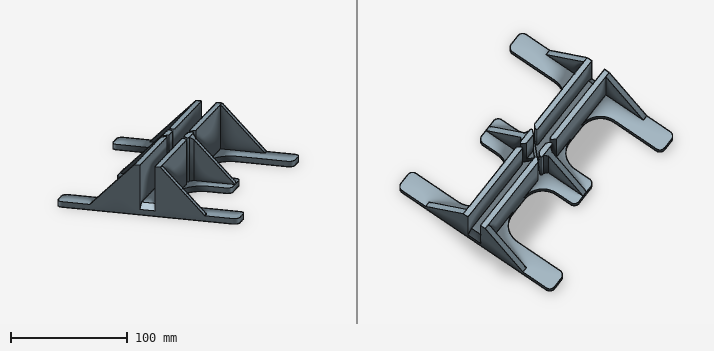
import cadquery as cq
LENGTH = 180.0
WIDTH = 163.0
HEIGHT = 45.0
HALF_LENGTH = LENGTH / 2

THICKNESS = 5.0
BASE_TOP = THICKNESS
FLOOR_TOP = 2 * THICKNESS

CHANNEL_WIDTH = 13.3
INNER_X = CHANNEL_WIDTH / 2
OUTER_X = INNER_X + THICKNESS

FOOT_DEPTH = 20.0
MIDDLE_DEPTH = 27.2
CORNER_RADIUS = 5.0
NECK_RADIUS = 20.0

RIB_END_X = OUTER_X + HEIGHT - BASE_TOP
FLARE = 3.0

SLOT_OFFSET = 1.71
TIP_RADIUS = 1.35


def prism(points, bottom, top):
    """Upright prism on an XY outline."""
    return cq.Workplane("XY").workplane(offset=bottom).polyline(points).close().extrude(top - bottom)


def in_both_halves(body, plane):
    """The body together with its mirror image in a plane through the origin."""
    return body.union(body.mirror(plane))


def base():
    """Flat base: a spine with a foot bar at each end and a short arm across the centre."""
    foot_y = HALF_LENGTH - FOOT_DEPTH / 2
    spine = cq.Workplane("XY").rect(2 * OUTER_X, LENGTH - FOOT_DEPTH).extrude(BASE_TOP)
    foot_centres = [(0, foot_y), (0, -foot_y)]
    feet = cq.Workplane("XY").pushPoints(foot_centres).rect(WIDTH, FOOT_DEPTH).extrude(BASE_TOP)
    arm = cq.Workplane("XY").rect(2 * RIB_END_X, MIDDLE_DEPTH).extrude(BASE_TOP)
    plate = spine.union(feet).union(arm)

    corner_split = OUTER_X + THICKNESS
    plate = plate.edges("|Z").filter(lambda edge: abs(edge.Center().x) > corner_split).fillet(CORNER_RADIUS)
    return plate.edges("|Z").filter(lambda edge: abs(edge.Center().x) < corner_split).fillet(NECK_RADIUS)


def long_wall():
    """Wall from the diagonal slot to the +Y end, with its sharp inner tip rounded."""
    outline = [
        (OUTER_X, HALF_LENGTH),
        (OUTER_X, OUTER_X + SLOT_OFFSET),
        (INNER_X, INNER_X + SLOT_OFFSET),
        (INNER_X, HALF_LENGTH),
    ]
    return prism(outline, BASE_TOP, HEIGHT).edges("|Z and <Y").fillet(TIP_RADIUS)


def centre_wall():
    """Half of the short wall between the slots, with its sharp outer tip rounded."""
    outline = [
        (INNER_X, 0),
        (OUTER_X, 0),
        (OUTER_X, OUTER_X - SLOT_OFFSET),
        (INNER_X, INNER_X - SLOT_OFFSET),
    ]
    return prism(outline, BASE_TOP, HEIGHT).edges("|Z and >Y").fillet(TIP_RADIUS)


def channel_floor():
    """Raised channel floor, split by the slot and ramped at the +Y end; it fills under the rounded tip."""
    under_wall = INNER_X + THICKNESS / 2
    long_outline = [
        (0, SLOT_OFFSET),
        (under_wall, under_wall + SLOT_OFFSET),
        (under_wall, HALF_LENGTH),
        (0, HALF_LENGTH),
    ]
    long_part = prism(long_outline, BASE_TOP, FLOOR_TOP)
    ramp = [(HALF_LENGTH - THICKNESS, FLOOR_TOP), (HALF_LENGTH, FLOOR_TOP), (HALF_LENGTH, BASE_TOP)]
    long_part = long_part.cut(cq.Workplane("YZ").polyline(ramp).close().extrude(INNER_X))
    centre_part = prism([(SLOT_OFFSET, 0), (INNER_X, 0), (INNER_X, INNER_X - SLOT_OFFSET)], BASE_TOP, FLOOR_TOP)
    return long_part.union(centre_part)


def slope_profile(y, depth):
    """Triangular prism under the 45 degree slope, running from y towards -Y."""
    triangle = [(OUTER_X, BASE_TOP), (RIB_END_X, BASE_TOP), (OUTER_X, HEIGHT)]
    return cq.Workplane("XZ", origin=(0, y, 0)).polyline(triangle).close().extrude(depth)


def end_rib():
    """Rib flush with the +Y end."""
    return slope_profile(HALF_LENGTH, THICKNESS)


def middle_rib():
    """Half of the rib on the centre line, flared where it meets the wall."""
    half_rib = THICKNESS / 2
    outline = [
        (OUTER_X, 0),
        (RIB_END_X, 0),
        (RIB_END_X, half_rib),
        (OUTER_X + FLARE, half_rib),
        (OUTER_X, half_rib + FLARE),
    ]
    return prism(outline, BASE_TOP, HEIGHT).intersect(slope_profile(half_rib + FLARE, half_rib + FLARE))


quarter = long_wall().union(end_rib()).union(channel_floor()).union(centre_wall()).union(middle_rib())
upper = in_both_halves(in_both_halves(quarter, "YZ"), "XZ")

result = base().union(upper).clean()